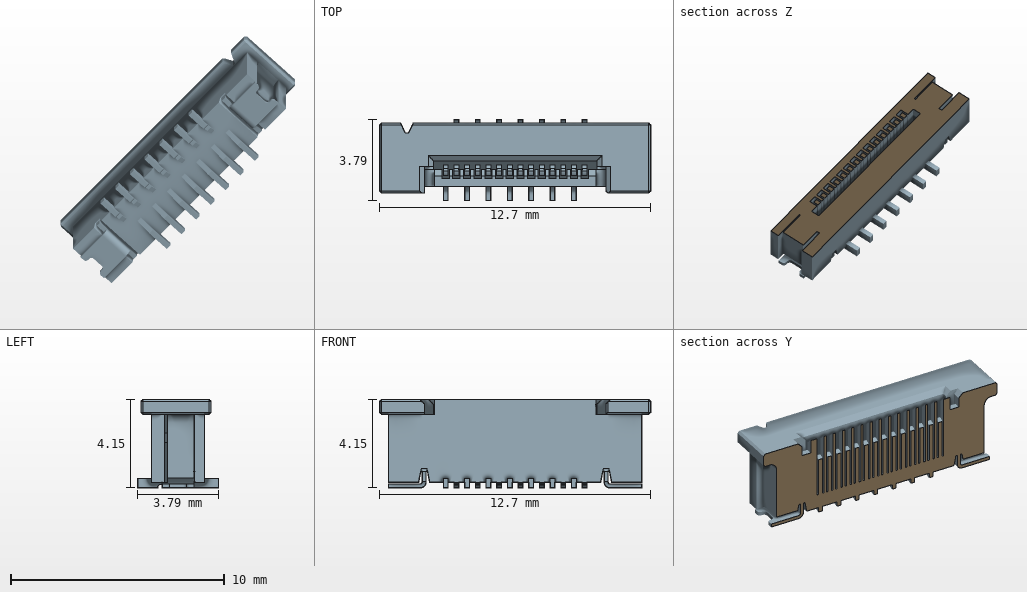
import cadquery as cq


body_length = 11.87
body_width = 2.49
body_bottom = 0.27
part_top = 4.15
body_end = body_length / 2
body_front = -body_width / 2

flange_length = 12.7
flange_front = -1.55
flange_back = 1.74
flange_bottom = 3.44
flange_chamfer = 0.1

index_x = -5.07
index_depth = 0.47
index_mouth = 0.6
index_root = 0.15

cavity_half = 3.82
cavity_back = -0.04
cavity_floor = 1.02
cavity_chamfer = 0.24
tongue_half = 3.78
tongue_back = -0.45
tongue_chamfer = 0.3
relief_half = 4.24
relief_back = -0.3
relief_chamfer = 0.23

contact_count = 14
contact_row = 6.5
contact_pitch = contact_row / (contact_count - 1)
contact_width = 0.23
contact_slot_width = 0.34
contact_slot_front = -0.86
beam_root = 0.13
beam_front = -0.72
bulge_y = -0.23
bulge_bottom = 2.29
bulge_top = 2.8
crest_y = -0.52
crest_z = 3.02
crest_flat = 0.13
crest_drop = 0.1
crest_curve_radius = 0.38
tail_front = -1.9
tail_back = 1.89
tail_height = 0.45
front_tail_heel = -0.77
rear_tail_heel = 0.94
tail_heel_chamfer = 0.06
tail_clearance = 0.15
tail_rise_start = 0.7
tail_rise_end = 0.45

pocket_front = -0.77
pocket_back = 0.62
pad_front = -0.74
pad_back = 0.48
pad_bottom = 0.46
pad_flat_top = 3.06
pad_inset = 0.29
pad_curve_radius = 0.38
ledge_depth = 0.22
ledge_toe_depth = 0.27
ledge_toe = 2.13
ledge_low = 2.25
ledge_high = 2.57

strap_outer = 4.35
strap_thickness = 0.19
strap_inner = strap_outer - strap_thickness
strap_bend_inner = 0.09
strap_bend_outer = strap_bend_inner + strap_thickness
foot_half_width = 0.75
foot_recess_half = 0.56
foot_curve = 0.15
foot_recess_straight = 0.06
strap_slot_top = 0.91
strap_slot_mouth = 0.51
strap_slot_root = 0.25
nub_height = 0.14
strap_tab_half_width = 1.2
strap_tab_bottom = 0.3


def box(x0, x1, y0, y1, z0, z1):
    """Axis-aligned block between two opposite corners."""
    return cq.Workplane("XY").box(x1 - x0, y1 - y0, z1 - z0, centered=False).translate((x0, y0, z0))


def along_x(profile, x0, x1):
    """Prism along X from a list of (y, z) points."""
    return cq.Workplane("YZ", origin=(x0, 0, 0)).polyline(profile).close().extrude(x1 - x0)


def along_y(profile, y0, y1):
    """Prism along Y from a list of (x, z) points."""
    return cq.Workplane("XZ", origin=(0, y0, 0)).polyline(profile).close().extrude(y0 - y1)


def both_ends(solid):
    """A left-hand solid together with its mirror image at the right-hand end."""
    return solid.union(solid.mirror("YZ"))


def make_flange():
    half = flange_length / 2
    flange = box(-half, half, flange_front, flange_back, flange_bottom, part_top).edges().chamfer(flange_chamfer)
    notch = (
        cq.Workplane("XY", origin=(0, 0, flange_bottom))
        .polyline([
            (index_x - index_mouth / 2, flange_back),
            (index_x - index_root / 2, flange_back - index_depth),
            (index_x + index_root / 2, flange_back - index_depth),
            (index_x + index_mouth / 2, flange_back),
        ])
        .close()
        .extrude(part_top - flange_bottom)
    )
    front_gap = box(-relief_half, relief_half, flange_front, body_front, flange_bottom, part_top)
    flange = flange.cut(notch).cut(front_gap)
    corner = (
        cq.Workplane("XY", origin=(relief_half, flange_front, flange_bottom))
        .polyline([(0, 0), (flange_chamfer, 0), (0, flange_chamfer)])
        .close()
        .extrude(part_top - flange_bottom)
    )
    return flange.cut(corner)


def cut_cable_opening(housing):
    cavity = box(-cavity_half, cavity_half, tongue_back, cavity_back, cavity_floor, part_top)
    lead_in = (
        cq.Workplane("XY", origin=(0, 0, part_top))
        .rect(2 * (cavity_half + cavity_chamfer), 2 * (cavity_back + cavity_chamfer - tongue_back))
        .workplane(offset=-cavity_chamfer)
        .rect(2 * cavity_half, 2 * (cavity_back - tongue_back))
        .loft(ruled=True)
        .translate((0, tongue_back, 0))
        .intersect(box(-body_length, body_length, tongue_back, body_width, 0, part_top))
    )
    tongue_lead_in = along_x(
        [
            (tongue_back, part_top),
            (tongue_back, part_top - tongue_chamfer),
            (tongue_back - tongue_chamfer, part_top),
        ],
        -cavity_half,
        cavity_half,
    )
    relief = along_x(
        [
            (flange_front, part_top),
            (flange_front, flange_bottom),
            (tongue_back, flange_bottom),
            (relief_back, flange_bottom - (relief_back - tongue_back)),
            (relief_back, part_top),
        ],
        -relief_half,
        -tongue_half,
    )
    relief_edge = along_y(
        [
            (-relief_half, part_top),
            (-relief_half - relief_chamfer, part_top),
            (-relief_half, part_top - relief_chamfer),
        ],
        flange_front,
        relief_back,
    )
    ends = both_ends(relief.union(relief_edge))
    return housing.cut(cavity).cut(lead_in).cut(tongue_lead_in).cut(ends)


def cut_end_pockets(housing):
    pocket = box(-body_end, -strap_outer, pocket_front, pocket_back, body_bottom, flange_bottom)
    pad_face = -body_end + pad_inset
    pad = (
        cq.Workplane("XZ", origin=(0, pad_back, 0))
        .moveTo(-strap_outer, pad_bottom)
        .lineTo(pad_face, pad_bottom)
        .lineTo(pad_face, pad_flat_top)
        .radiusArc((-body_end, flange_bottom), -pad_curve_radius)
        .lineTo(-strap_outer, flange_bottom)
        .close()
        .extrude(pad_back - pad_front)
    )
    ledge = along_y(
        [
            (-strap_outer, body_bottom),
            (-strap_outer - ledge_toe_depth, body_bottom),
            (-strap_outer - ledge_toe_depth, ledge_toe),
            (-strap_outer - ledge_depth, ledge_low),
            (-strap_outer, ledge_high),
        ],
        pad_back,
        pocket_back,
    )
    return housing.cut(both_ends(pocket.cut(pad).cut(ledge)))


def cut_strap_slots(housing):
    middle = -(strap_outer + strap_inner) / 2
    slot = along_y(
        [
            (middle - strap_slot_mouth / 2, body_bottom),
            (middle - strap_slot_root / 2, strap_slot_top),
            (middle + strap_slot_root / 2, strap_slot_top),
            (middle + strap_slot_mouth / 2, body_bottom),
        ],
        body_front,
        -body_front,
    )
    nub = along_x(
        [
            (body_front, strap_slot_top - nub_height),
            (body_front + nub_height, strap_slot_top),
            (-body_front, strap_slot_top),
            (-body_front, strap_slot_top - nub_height),
        ],
        middle - strap_slot_root,
        middle + strap_slot_root,
    )
    return housing.cut(both_ends(slot.cut(nub)))


def make_strap():
    """Left strap: a foot on the board, bent up into the body."""
    bend_x = -strap_outer - strap_bend_inner
    bend_z = strap_bend_outer
    strap = (
        cq.Workplane("XZ", origin=(0, foot_half_width, 0))
        .moveTo(-body_end, 0)
        .lineTo(bend_x, 0)
        .radiusArc((-strap_inner, bend_z), -strap_bend_outer)
        .lineTo(-strap_inner, strap_slot_top)
        .lineTo(-strap_outer, strap_slot_top)
        .lineTo(-strap_outer, bend_z)
        .radiusArc((bend_x, strap_thickness), strap_bend_inner)
        .lineTo(-body_end, strap_thickness)
        .close()
        .extrude(2 * foot_half_width)
    )
    mid_x = -body_end + foot_curve
    floor_curve_x = mid_x + foot_recess_straight
    floor_x = floor_curve_x + foot_curve
    mid_y = foot_recess_half - foot_curve
    floor_y = mid_y - foot_curve
    recess = (
        cq.Workplane("XY")
        .moveTo(-body_end, foot_recess_half)
        .radiusArc((mid_x, mid_y), -foot_curve)
        .lineTo(floor_curve_x, mid_y)
        .radiusArc((floor_x, floor_y), foot_curve)
        .lineTo(floor_x, -floor_y)
        .radiusArc((floor_curve_x, -mid_y), foot_curve)
        .lineTo(mid_x, -mid_y)
        .radiusArc((-body_end, -foot_recess_half), -foot_curve)
        .close()
        .extrude(strap_thickness)
    )
    tab = box(
        -strap_outer,
        -strap_inner,
        -strap_tab_half_width,
        strap_tab_half_width,
        strap_tab_bottom,
        strap_slot_top - nub_height,
    )
    return strap.cut(recess).union(tab)


front_tail_profile = [
    (tail_front, 0),
    (tail_front, tail_height),
    (0, tail_height),
    (0, body_bottom),
    (front_tail_heel, 0),
]

rear_tail_profile = [
    (tail_back, 0),
    (tail_back, tail_height),
    (0, tail_height),
    (0, body_bottom),
    (tail_rise_end, body_bottom),
    (tail_rise_start, tail_clearance),
    (rear_tail_heel - tail_heel_chamfer, tail_clearance),
    (rear_tail_heel, tail_clearance - tail_heel_chamfer),
    (rear_tail_heel, 0),
]


def make_beam(left, right):
    """Contact beam along Z whose head bulges into the cavity and falls away toward the tongue."""
    return (
        cq.Workplane("YZ", origin=(left, 0, 0))
        .moveTo(tongue_back, cavity_floor - beam_root)
        .lineTo(tongue_back, bulge_bottom)
        .lineTo(bulge_y, bulge_bottom + bulge_y - tongue_back)
        .lineTo(bulge_y, bulge_top)
        .lineTo(crest_y + crest_flat, crest_z - crest_flat / 2)
        .lineTo(crest_y, crest_z)
        .radiusArc((beam_front, crest_z - crest_drop), -crest_curve_radius)
        .lineTo(beam_front, cavity_floor - beam_root)
        .close()
        .extrude(right - left)
    )


def add_contacts(housing):
    for index in range(contact_count):
        x = (index - (contact_count - 1) / 2) * contact_pitch
        slot_half = contact_slot_width / 2
        slot = box(x - slot_half, x + slot_half, contact_slot_front, tongue_back, cavity_floor, part_top)
        housing = housing.cut(slot)
        left = x - contact_width / 2
        right = x + contact_width / 2
        tail_profile = rear_tail_profile if index % 2 == 1 else front_tail_profile
        housing = housing.union(make_beam(left, right))
        housing = housing.union(along_x(tail_profile, left, right))
    return housing


body = box(-body_end, body_end, body_front, -body_front, body_bottom, part_top - flange_chamfer)
tongue = box(-relief_half, relief_half, body_front, 0, body_bottom, part_top)
housing = body.union(make_flange()).union(tongue)
housing = cut_cable_opening(housing)
housing = cut_end_pockets(housing)
housing = cut_strap_slots(housing)
housing = add_contacts(housing)
result = housing.union(both_ends(make_strap()))